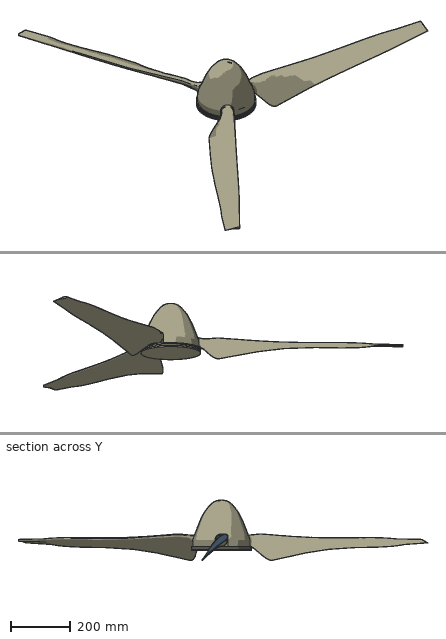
import cadquery as cq
import math

BLADE_COUNT = 3
BLADE_SPACING = 360 / BLADE_COUNT

BAND_RADIUS = 97.0
BAND_TOP = 1.0
DOME_APEX = 137.0
DOME_HIGH = (45.0, 114.0)
DOME_MID = (65.0, 83.0)
DOME_LOW = (83.0, 39.0)
DOME_BASE_DIRECTION = (-0.25, 1)
DOME_APEX_DIRECTION = (-1, 0)

PLATE_COUNT = 3
PLATE_RADIUS = 101.0
STACK_HEIGHT = 14.0
PLATE_THICKNESS = STACK_HEIGHT / PLATE_COUNT
STACK_TOP = -21.0

SHANK_RADIUS = 20.0
SHANK_START = 42.0
SHANK_END = 96.0
SLOT_RADIUS = 22.0

NECK = [
    (118.0, (-20.0, 17.0), (37.0, -36.0), 14.0, 11.0),
    (142.0, (-20.0, 18.0), (60.0, -61.0), 14.0, 5.0),
]
SHOULDER = (160.0, (-20.0, 20.0), (65.0, -68.0), 15.0, 4.0)
PANEL = [
    (222.0, (-20.0, 15.0), (65.0, -55.0), 14.0, 4.0),
    (305.0, (-20.0, 10.0), (67.0, -40.0), 11.0, 3.0),
    (472.0, (-20.0, 5.0), (61.0, -25.0), 8.0, 3.0),
]
TIP_START = (691.0, (-15.0, 3.0), (46.0, -14.0), 4.0, 1.0)
TIP_END = (787.0, (-12.0, 1.0), (37.0, -8.0), 3.0, 1.0)
CREST_POSITION = 0.35
TAIL_SLOPE = 0.1


def blade_plane(distance):
    """Plane across a +Y blade, with local x along X and local y along Z."""
    return cq.Workplane("XZ", origin=(0, distance, 0))


def section_wire(section):
    """Airfoil outline: round at the leading edge, sharp at the trailing edge."""
    distance, leading, trailing, upper_bulge, lower_bulge = section
    chord = cq.Vector(trailing[0] - leading[0], trailing[1] - leading[1])
    along = chord.normalized()
    normal = cq.Vector(-along.y, along.x)

    def crest(bulge):
        point = cq.Vector(*leading) + chord * CREST_POSITION + normal * bulge
        return (point.x, point.y)

    nose = (normal.x, normal.y)
    upper_tail = along - normal * TAIL_SLOPE
    lower_tail = -along - normal * TAIL_SLOPE
    upper_tangents = [nose, (upper_tail.x, upper_tail.y)]
    lower_tangents = [(lower_tail.x, lower_tail.y), nose]
    return (
        blade_plane(distance)
        .moveTo(*leading)
        .spline([crest(upper_bulge), trailing], upper_tangents, includeCurrent=True)
        .spline([crest(-lower_bulge), leading], lower_tangents, includeCurrent=True)
        .wire()
        .val()
    )


def shank_wire():
    """Circle split at its upper-left and lower-right, in line with the airfoil edges."""
    d = SHANK_RADIUS * math.sqrt(0.5)
    return (
        blade_plane(SHANK_END)
        .moveTo(-d, d)
        .threePointArc((d, d), (d, -d))
        .threePointArc((-d, -d), (-d, d))
        .wire()
        .val()
    )


def make_blade():
    shank = cq.Solid.makeCylinder(
        SHANK_RADIUS, SHANK_END - SHANK_START, cq.Vector(0, SHANK_START, 0), cq.Vector(0, 1, 0)
    )
    shoulder = section_wire(SHOULDER)
    tip_start = section_wire(TIP_START)
    neck = cq.Solid.makeLoft([shank_wire(), *map(section_wire, NECK), shoulder])
    panel = cq.Solid.makeLoft([shoulder, *map(section_wire, PANEL), tip_start])
    tip = cq.Solid.makeLoft([tip_start, section_wire(TIP_END)], ruled=True)
    blade = cq.Workplane(shank)
    for part in (neck, panel, tip):
        blade = blade.union(cq.Workplane(part))
    return blade.solids()


def around_shaft(body, index):
    return body.rotate((0, 0, 0), (0, 0, 1), index * BLADE_SPACING)


def make_root_slot():
    """Slot around a +Y shank: round at the top, straight down to the back plates."""
    return (
        blade_plane(SHANK_START)
        .moveTo(-SLOT_RADIUS, STACK_TOP)
        .lineTo(-SLOT_RADIUS, 0)
        .threePointArc((0, SLOT_RADIUS), (SLOT_RADIUS, 0))
        .lineTo(SLOT_RADIUS, STACK_TOP)
        .close()
        .extrude(-BAND_RADIUS)
    )


def make_spinner():
    spinner = (
        cq.Workplane("XZ")
        .moveTo(0, STACK_TOP)
        .lineTo(BAND_RADIUS, STACK_TOP)
        .lineTo(BAND_RADIUS, BAND_TOP)
        .spline(
            [DOME_LOW, DOME_MID, DOME_HIGH, (0, DOME_APEX)],
            tangents=[DOME_BASE_DIRECTION, DOME_APEX_DIRECTION],
            includeCurrent=True,
        )
        .close()
        .revolve(360, (0, 0, 0), (0, 1, 0))
    )
    slot = make_root_slot()
    for index in range(BLADE_COUNT):
        spinner = spinner.cut(around_shaft(slot, index))
    return spinner.solids()


def make_plate(index):
    plate_top = STACK_TOP - index * PLATE_THICKNESS
    return cq.Workplane("XY", origin=(0, 0, plate_top)).circle(PLATE_RADIUS).extrude(-PLATE_THICKNESS)


spinner = make_spinner()
plates = [make_plate(index) for index in range(PLATE_COUNT)]
blade = make_blade()
blades = [around_shaft(blade, index) for index in range(BLADE_COUNT)]

result = cq.Compound.makeCompound([body.val() for body in [spinner, *plates, *blades]])